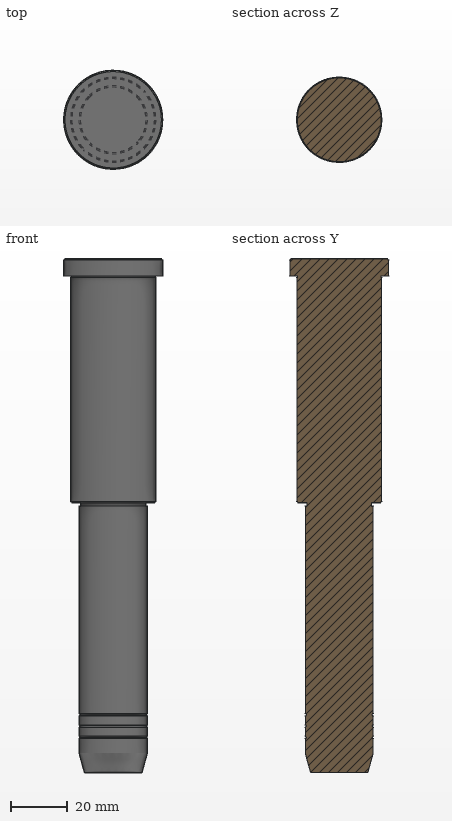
import cadquery as cq

total_length = 181.0
head_diameter = 35.0
body_diameter = 30.0
shaft_diameter = 24.0
neck_diameter = 23.0
tip_diameter = 20.3

head_height = 6.2
body_length = 79.8
neck_length = 1.0
tip_length = 6.9

head_chamfer = 0.5
body_chamfer = 0.5
tip_fillet = 0.5

relief_depth = 0.2
relief_length = 0.5

groove_count = 3
groove_pitch = 4.0
groove_width = 0.9
groove_depth = 0.45
lowest_groove_height = 12.5

body_top = total_length - head_height
body_bottom = body_top - body_length
relief_bottom = body_top - relief_length
shaft_top = body_bottom - neck_length


def cylinder(diameter, bottom, top):
    return cq.Workplane("XY").workplane(offset=bottom).circle(diameter / 2).extrude(top - bottom)


def make_head():
    return cylinder(head_diameter, body_top, total_length).faces(">Z").edges().chamfer(head_chamfer)


def make_body():
    body = cylinder(body_diameter, body_bottom, relief_bottom).faces("<Z").edges().chamfer(body_chamfer)
    relief = cylinder(body_diameter - 2 * relief_depth, relief_bottom, body_top)
    return body.union(relief)


def make_ring_groove(height):
    surface_radius = shaft_diameter / 2
    return (
        cq.Workplane("XZ")
        .moveTo(surface_radius, height - groove_width / 2)
        .lineTo(surface_radius - groove_depth, height)
        .lineTo(surface_radius, height + groove_width / 2)
        .close()
        .revolve(360, (0, 0, 0), (0, 1, 0))
    )


def make_shaft():
    shaft = cylinder(shaft_diameter, tip_length, shaft_top)
    for index in range(groove_count):
        shaft = shaft.cut(make_ring_groove(lowest_groove_height + index * groove_pitch))
    return shaft


def make_tip():
    cone = (
        cq.Workplane("XY")
        .circle(tip_diameter / 2)
        .workplane(offset=tip_length)
        .circle(shaft_diameter / 2)
        .loft()
    )
    return cone.faces("<Z").edges().fillet(tip_fillet)


neck = cylinder(neck_diameter, shaft_top, body_bottom)
result = make_head().union(make_body()).union(neck).union(make_shaft()).union(make_tip())